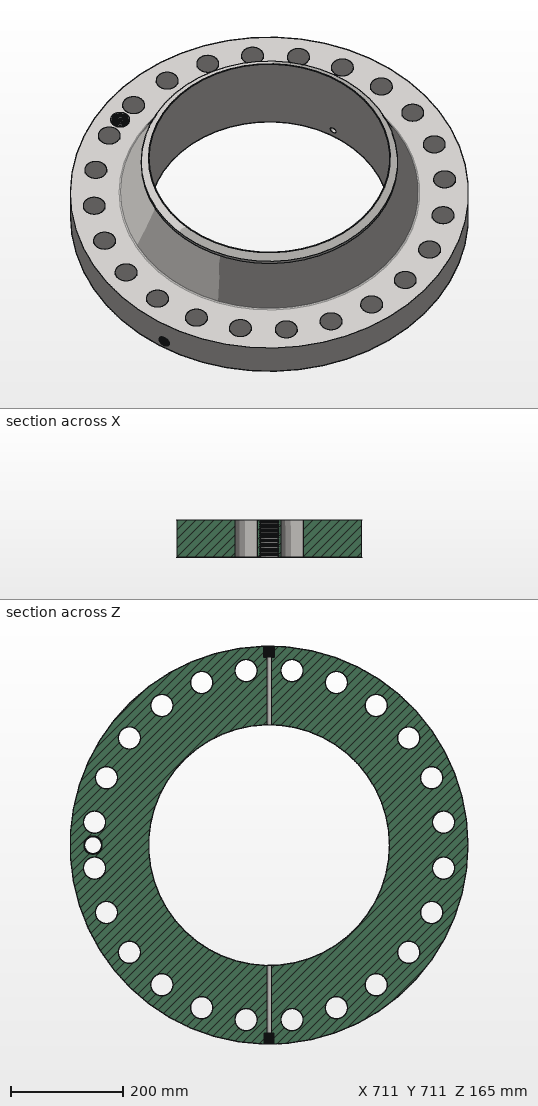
import cadquery as cq

flange_radius = 355.5
flange_height = 67.0

total_height = 165.0
hub_base_radius = 267.0
hub_fillet_radius = 3.0
weld_end_radius = 229.0
weld_land_height = 6.5
bevel_height = 8.5
weld_face_radius = 216.0
bore_radius = 215.0

bolt_circle_radius = 314.0
bolt_hole_diameter = 39.0
bolt_count = 24

jack_major_radius = 17.0
jack_minor_radius = 15.0
jack_pitch = 4.0

tap_height = 17.0
tap_bore_radius = 6.05
tap_major_radius = 11.0
tap_minor_radius = 8.5
tap_pitch = 1.8
tap_thread_length = 20.0


def revolved_body():
    """Flange, hub and bore as one profile turned about the Z axis."""
    bevel_bottom = total_height - bevel_height
    body = (
        cq.Workplane("XZ")
        .moveTo(bore_radius, 0)
        .lineTo(flange_radius, 0)
        .lineTo(flange_radius, flange_height)
        .lineTo(hub_base_radius, flange_height)
        .lineTo(weld_end_radius, bevel_bottom - weld_land_height)
        .lineTo(weld_end_radius, bevel_bottom)
        .lineTo(weld_face_radius, total_height)
        .lineTo(bore_radius, total_height)
        .close()
        .revolve(360, (0, 0, 0), (0, 1, 0))
    )
    return body.faces("%CONE").faces("<Z").edges("<Z").fillet(hub_fillet_radius)


def bolt_holes():
    """Through holes straddling the X and Y axes."""
    half_step = 180 / bolt_count
    return (
        cq.Workplane("XY")
        .polarArray(bolt_circle_radius, half_step, 360, bolt_count)
        .circle(bolt_hole_diameter / 2)
        .extrude(flange_height)
    )


def thread_cutter(major_radius, minor_radius, pitch, length):
    """Cutter along +Z from the origin, with the thread as stacked V grooves."""
    profile = cq.Workplane("XZ").lineTo(major_radius, 0)
    for turn in range(int(length / pitch)):
        profile = profile.lineTo(minor_radius, (turn + 0.5) * pitch)
        profile = profile.lineTo(major_radius, (turn + 1) * pitch)
    profile = profile.lineTo(minor_radius, length).lineTo(0, length).close()
    return profile.revolve(360, (0, 0, 0), (0, 1, 0))


def jack_screw_hole():
    """Threaded through hole on the -X side, entered from the flange face."""
    cutter = thread_cutter(jack_major_radius, jack_minor_radius, jack_pitch, flange_height)
    return cutter.rotate((0, 0, 0), (1, 0, 0), 180).translate((-bolt_circle_radius, 0, flange_height))


def pressure_tap():
    """Radial hole from the rim on the -Y side into the bore."""
    thread = thread_cutter(tap_major_radius, tap_minor_radius, tap_pitch, tap_thread_length)
    bore_length = flange_radius - bore_radius / 2
    bore = cq.Workplane("XY").circle(tap_bore_radius).extrude(bore_length)
    tap = thread.union(bore)
    return tap.rotate((0, 0, 0), (1, 0, 0), -90).translate((0, -flange_radius, tap_height))


result = revolved_body().cut(bolt_holes()).cut(jack_screw_hole())
front_tap = pressure_tap()
for turn_angle in (0, 180):
    result = result.cut(front_tap.rotate((0, 0, 0), (0, 0, 1), turn_angle))